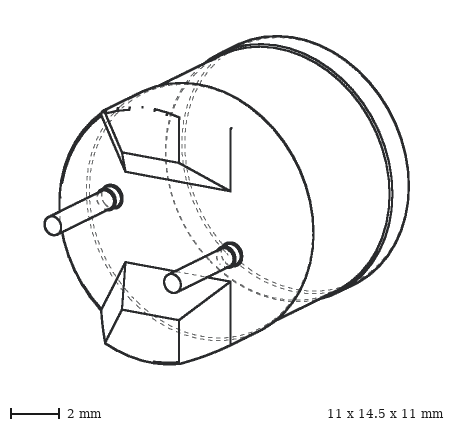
import cadquery as cq
import math

case_radius = 5.5
waist_radius = 5.41
flange_end = 1.48
waist_end = 7.51
seat_face = 9.81
rim_fillet = 0.1
edge_chamfer = case_radius - waist_radius
tolerance = 0.001

foot_height = 1.71
foot_draft = 1.45
foot_left = -2.25
foot_right = 2.84
foot_inner = 1.95
flank_lean = math.radians(27.5)
foot_outer = 8.68

pin_radius = 0.4
pin_x = 2.9
pin_z = 0.77
pin_root = waist_end
pin_tip = 14.47
collar_radius = 0.46
collar_length = 0.5
collar_chamfer = 0.05
root_flare = 0.05


def cylinder(radius, start, end):
    """Cylinder on the Y axis between two distances from the back face."""
    return cq.Workplane("XZ").workplane(offset=start).circle(radius).extrude(end - start)


def make_foot():
    """Upper foot, trimmed to the case cylinder."""
    left_end = foot_left - (foot_outer - foot_inner) * math.tan(flank_lean)
    block = (
        cq.Workplane("XZ")
        .workplane(offset=seat_face)
        .moveTo(foot_left, foot_inner)
        .lineTo(foot_right, foot_inner)
        .lineTo(foot_right, foot_outer)
        .lineTo(left_end, foot_outer)
        .close()
        .extrude(foot_height, taper=math.degrees(math.atan2(foot_draft, foot_height)))
    )
    return block.intersect(cylinder(case_radius, seat_face, seat_face + foot_height))


def lies_on_case(edge):
    """True if every sample along the edge is on the outer cylinder of the case."""
    samples = edge.positions([0, 0.25, 0.5, 0.75, 1])
    return all(abs(math.hypot(p.x, p.z) - case_radius) < tolerance for p in samples)


def make_front_section():
    """Front of the case with both feet, its outer rim rounded all round."""
    foot = make_foot()
    section = cylinder(case_radius, waist_end, seat_face).union(foot).union(foot.mirror("XY"))
    rim = [
        edge
        for edge in section.edges().vals()
        if lies_on_case(edge) and edge.Center().y < -seat_face + tolerance
    ]
    section = section.newObject(rim).fillet(rim_fillet)
    return section.faces(">Y").edges().chamfer(edge_chamfer)


def make_pin(x, z):
    """Pin with a collar that flares at its root."""
    collar_end = seat_face + collar_length
    profile = [
        (0, pin_root),
        (collar_radius + root_flare, pin_root),
        (collar_radius + root_flare, seat_face),
        (collar_radius, seat_face + root_flare),
        (collar_radius, collar_end - collar_chamfer),
        (pin_radius, collar_end),
        (pin_radius, pin_tip),
        (0, pin_tip),
    ]
    pin = cq.Workplane("XY").polyline([(r, -y) for r, y in profile]).close()
    return pin.revolve(360, (0, 0, 0), (0, 1, 0)).translate((x, 0, z))


back_flange = cylinder(case_radius, 0, flange_end).edges().chamfer(edge_chamfer)
waist = cylinder(waist_radius, flange_end, waist_end)
result = back_flange.union(waist).union(make_front_section())
for side in (-1, 1):
    result = result.union(make_pin(side * pin_x, -side * pin_z))